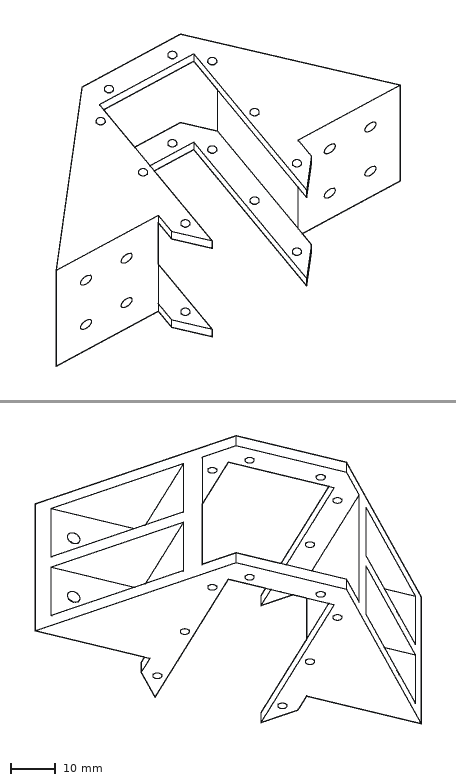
import cadquery as cq

length = 51.6
width = 92.5
height = 36.2

plate_thickness = 2.9
shelf_thickness = 3.0
wall_thickness = 3.05

nose_half_width = 13.2
rear_face_x = 39.0
slot_start_x = 6.2
slot_half_width = 12.7
tower_inner_y = 18.8

plate_hole_diameter = 2.0
plate_hole_pitch = 17.0
arm_hole_start_x = 10.2
arm_hole_y = 15.0
arm_hole_count = 3
nose_hole_x = 3.8

wall_hole_diameter = 3.0
wall_hole_ys = (27.3, 38.2)

half_width = width / 2
half_height = height / 2
slant_run = rear_face_x / (half_width - nose_half_width)
tab_end_x = length - (tower_inner_y - slot_half_width) * slant_run
pocket_height = half_height - plate_thickness - shelf_thickness / 2
pocket_center_z = (shelf_thickness + pocket_height) / 2
rear_wall_x = rear_face_x - wall_thickness
pocket_inner_y = tower_inner_y + wall_thickness


def slant_x(y):
    """X of the slanted outer face at distance y from the center plane."""
    return (y - nose_half_width) * slant_run


def slant_y(x):
    """Distance of the slanted outer face from the center plane at x."""
    return nose_half_width + x / slant_run


def prism(points, bottom, thickness):
    return cq.Workplane("XY").workplane(offset=bottom).polyline(points).close().extrude(thickness)


def make_plate(bottom):
    """U-shaped plate with triangular wings, end tabs and screw holes."""
    side = [
        (slot_start_x, slot_half_width),
        (length, slot_half_width),
        (tab_end_x, tower_inner_y),
        (rear_face_x, tower_inner_y),
        (rear_face_x, half_width),
        (0, nose_half_width),
    ]
    mirrored_side = [(x, -y) for x, y in reversed(side)]
    plate = prism(side + mirrored_side, bottom, plate_thickness)

    hole_points = []
    for sign in (-1, 1):
        hole_points.append((nose_hole_x, sign * plate_hole_pitch / 2))
        for index in range(arm_hole_count):
            hole_points.append((arm_hole_start_x + index * plate_hole_pitch, sign * arm_hole_y))
    holes = (
        cq.Workplane("XY")
        .workplane(offset=bottom)
        .pushPoints(hole_points)
        .circle(plate_hole_diameter / 2)
        .extrude(plate_thickness)
    )
    return plate.cut(holes)


def make_tower():
    """Triangular tower on the +Y side with two pockets open on its slanted face."""
    outline = [
        (slant_x(tower_inner_y), tower_inner_y),
        (rear_face_x, tower_inner_y),
        (rear_face_x, half_width),
    ]
    tower = prism(outline, plate_thickness - half_height, height - 2 * plate_thickness)

    pocket_outline = [
        (slant_x(pocket_inner_y), pocket_inner_y),
        (rear_wall_x, pocket_inner_y),
        (rear_wall_x, slant_y(rear_wall_x)),
    ]
    for center_z in (-pocket_center_z, pocket_center_z):
        pocket = prism(pocket_outline, center_z - pocket_height / 2, pocket_height)
        holes = (
            cq.Workplane("YZ")
            .workplane(offset=rear_wall_x)
            .pushPoints([(y, center_z) for y in wall_hole_ys])
            .circle(wall_hole_diameter / 2)
            .extrude(wall_thickness)
        )
        tower = tower.cut(pocket).cut(holes)
    return tower


tower = make_tower()
bottom_plate = make_plate(-half_height)
top_plate = make_plate(half_height - plate_thickness)
result = bottom_plate.union(top_plate).union(tower).union(tower.mirror("XZ"))